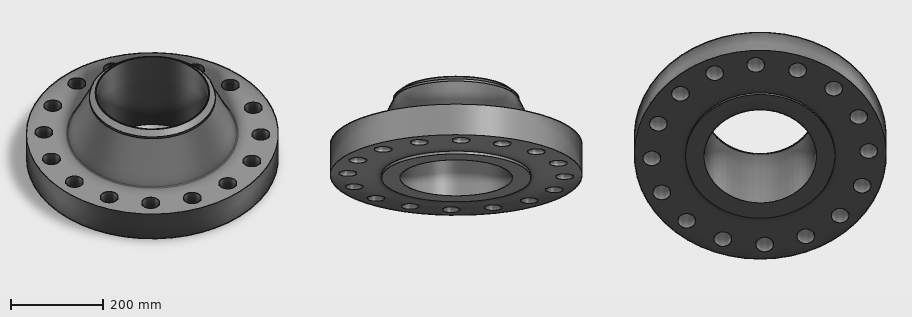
import cadquery as cq

flange_diameter = 546.0
flange_thickness = 70.0

face_diameter = 324.0
face_height = 6.5

total_height = 190.5
hub_base_diameter = 368.0
hub_fillet_radius = 3.0
weld_end_diameter = 273.0
weld_land_height = 5.0
bevel_height = 10.5
lip_diameter = 248.0
bore_diameter = 243.5

bolt_count = 16
bolt_circle_diameter = 470.0
bolt_hole_diameter = 38.0

plate_top = face_height + flange_thickness
bevel_bottom = total_height - bevel_height
hub_top = bevel_bottom - weld_land_height
selection_margin = 0.5


def revolved_body():
    """Revolve the half section, from the sealing face up to the weld end."""
    return (
        cq.Workplane("XZ")
        .moveTo(bore_diameter / 2, 0)
        .lineTo(face_diameter / 2, 0)
        .lineTo(face_diameter / 2, face_height)
        .lineTo(flange_diameter / 2, face_height)
        .lineTo(flange_diameter / 2, plate_top)
        .lineTo(hub_base_diameter / 2, plate_top)
        .lineTo(weld_end_diameter / 2, hub_top)
        .lineTo(weld_end_diameter / 2, bevel_bottom)
        .lineTo(lip_diameter / 2, total_height)
        .lineTo(bore_diameter / 2, total_height)
        .close()
        .revolve(axisStart=(0, 0, 0), axisEnd=(0, 1, 0))
    )


def bolt_holes():
    """Cylinders through the plate, evenly spaced on the bolt circle."""
    return (
        cq.Workplane("XY")
        .polarArray(bolt_circle_diameter / 2, 0, 360, bolt_count)
        .circle(bolt_hole_diameter / 2)
        .extrude(plate_top)
    )


def hub_base_edge():
    """Select the circle where the tapered hub meets the plate."""
    reach = hub_base_diameter / 2 + selection_margin
    low_corner = (-reach, -reach, plate_top - selection_margin)
    high_corner = (reach, reach, plate_top + selection_margin)
    return cq.selectors.BoxSelector(low_corner, high_corner, boundingbox=True)


body = revolved_body().edges(hub_base_edge()).fillet(hub_fillet_radius)
result = body.cut(bolt_holes())